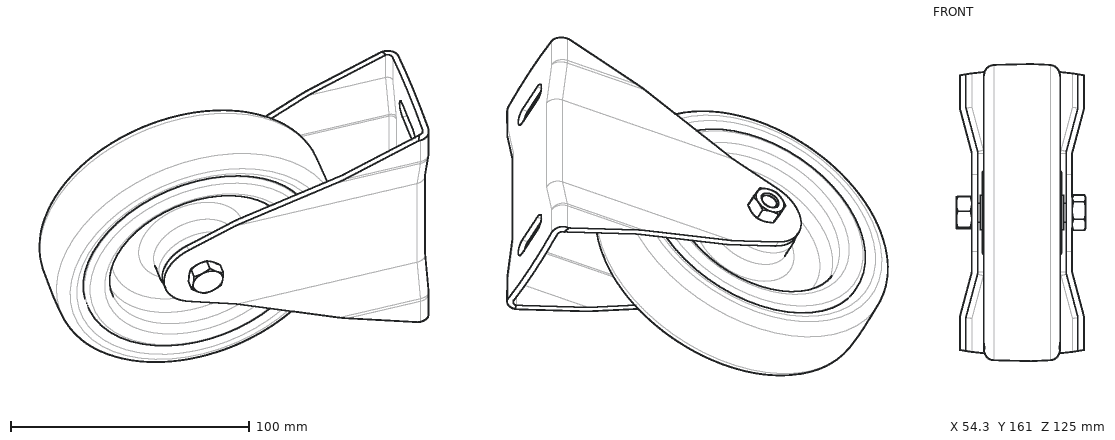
import cadquery as cq
import math


wheel_radius = 62.5
wheel_half_width = 16.1
crown_drop = 0.8
tread_edge_radius = 4.7
seam_radius = 50.5
tyre_inner_edge_radius = 3.9
rim_edge_radius = 2.0
well_radius = 39.1
well_lip_radius = 3.0
well_root_radius = 4.0
web_half_width = 2.4
hub_radius = 18.0
hub_half_length = 16.7
hub_root_radius = 5.0
hub_tip_radius = 2.0
boss_radius = 7.2
boss_half_length = 17.5

sheet = 2.5
fork_narrow_half = 21.1
fork_wide_half = 26.0
narrow_half_height = 25.0
wide_half_height = 43.6
flare_outer_bend = 5.5
flare_inner_bend = 3.4
overall_length = 161
back_y = overall_length - wheel_radius
back_half_height = 60.0
back_side_half_height = 57.6
back_bend_inner = 2.4
back_bend_outer = back_bend_inner + sheet
leg_root_half_height = 58.0
leg_tip_radius = 17.5
slot_width = 8.0
slot_length = 22.5
slot_height_z = 39.8

bolt_radius = 4.0
bolt_end_chamfer = 0.6
bolt_end_recess = 0.6
hex_across_flats = 13.0
hex_chamfer_angle = 30
nut_height = 6.5
nut_turn = 5
head_height = 5.6
head_turn = 38


def symmetric_revolve(half_profile):
    """Revolve about X a profile of (x, radius) points, given for +X and mirrored to -X."""
    mirrored = [(-x, radius) for x, radius in reversed(half_profile)]
    return cq.Workplane("XY").polyline(half_profile + mirrored).close().revolve(360, (0, 0), (1, 0))


def round_rings(body, ring_radius, ring_x, fillet_radius):
    """Fillet the two circular edges of the given radius at +/-ring_x."""
    def is_ring(edge):
        return (
            edge.geomType() == "CIRCLE"
            and math.isclose(edge.radius(), ring_radius, abs_tol=0.0002)
            and math.isclose(abs(edge.arcCenter().x), ring_x, abs_tol=0.0002)
        )

    rings = [edge for edge in body.edges().vals() if is_ring(edge)]
    return body.newObject([body.val().fillet(fillet_radius, rings)])


def make_tyre():
    shoulder_radius = wheel_radius - crown_drop
    tyre = (
        cq.Workplane("XY")
        .moveTo(-wheel_half_width, seam_radius)
        .lineTo(-wheel_half_width, shoulder_radius)
        .threePointArc((0, wheel_radius), (wheel_half_width, shoulder_radius))
        .lineTo(wheel_half_width, seam_radius)
        .close()
        .revolve(360, (0, 0), (1, 0))
    )
    tyre = round_rings(tyre, shoulder_radius, wheel_half_width, tread_edge_radius)
    return round_rings(tyre, seam_radius, wheel_half_width, tyre_inner_edge_radius)


def make_rim():
    rim = symmetric_revolve([
        (boss_half_length, bolt_radius),
        (boss_half_length, boss_radius),
        (hub_half_length, boss_radius),
        (hub_half_length, hub_radius),
        (web_half_width, hub_radius),
        (web_half_width, well_radius),
        (wheel_half_width, well_radius),
        (wheel_half_width, seam_radius),
    ])
    rim = round_rings(rim, seam_radius, wheel_half_width, rim_edge_radius)
    rim = round_rings(rim, well_radius, wheel_half_width, well_lip_radius)
    rim = round_rings(rim, well_radius, web_half_width, well_root_radius)
    rim = round_rings(rim, hub_radius, web_half_width, hub_root_radius)
    return round_rings(rim, hub_radius, hub_half_length, hub_tip_radius)


def flared_block(inset, back, back_bend):
    """Block with the waisted front outline of the fork, set in by `inset` from the outer skin."""
    flare_angle = math.atan2(fork_wide_half - fork_narrow_half, wide_half_height - narrow_half_height)
    corner_shift = inset * math.tan(flare_angle / 2)
    wide = fork_wide_half - inset
    narrow = fork_narrow_half - inset
    wide_z = wide_half_height + corner_shift
    narrow_z = narrow_half_height + corner_shift
    right_side = [(wide, -back_half_height), (wide, -wide_z), (narrow, -narrow_z),
                  (narrow, narrow_z), (wide, wide_z), (wide, back_half_height)]
    left_side = [(-x, z) for x, z in reversed(right_side)]
    block = (
        cq.Workplane("XZ", origin=(0, back, 0))
        .polyline(right_side + left_side)
        .close()
        .extrude(back + leg_tip_radius)
    )
    if inset:
        bend_x, bend_z, bend = narrow, narrow_z, flare_inner_bend
    else:
        bend_x, bend_z, bend = wide, wide_z, flare_outer_bend

    def is_flare_bend(edge):
        middle = edge.Center()
        return (
            math.isclose(abs(middle.x), bend_x, abs_tol=0.0002)
            and math.isclose(abs(middle.z), bend_z, abs_tol=0.0002)
        )

    bends = [edge for edge in block.edges("|Y").vals() if is_flare_bend(edge)]
    block = block.newObject([block.val().fillet(bend, bends)])
    return block.faces(">Y").edges("not |X").fillet(back_bend)


def make_fork():
    fork = flared_block(0, back_y, back_bend_outer)
    fork = fork.cut(flared_block(sheet, back_y - sheet, back_bend_inner))

    root_y = back_y - back_bend_outer
    root_distance = math.hypot(root_y, leg_root_half_height)
    tangent_angle = math.atan2(leg_root_half_height, root_y) + math.acos(leg_tip_radius / root_distance)
    tangent_y = leg_tip_radius * math.cos(tangent_angle)
    tangent_z = leg_tip_radius * math.sin(tangent_angle)
    side_outline = (
        cq.Workplane("YZ")
        .moveTo(back_y, back_half_height)
        .lineTo(root_y, back_half_height)
        .lineTo(root_y, leg_root_half_height)
        .lineTo(tangent_y, tangent_z)
        .threePointArc((-leg_tip_radius, 0), (tangent_y, -tangent_z))
        .lineTo(root_y, -leg_root_half_height)
        .lineTo(root_y, -back_half_height)
        .lineTo(back_y, -back_half_height)
        .close()
        .extrude(fork_wide_half, both=True)
    )

    end_outline = (
        cq.Workplane("XZ", origin=(0, back_y, 0))
        .moveTo(-fork_wide_half, -back_side_half_height)
        .lineTo(-fork_wide_half, back_side_half_height)
        .threePointArc((0, back_half_height), (fork_wide_half, back_side_half_height))
        .lineTo(fork_wide_half, -back_side_half_height)
        .threePointArc((0, -back_half_height), (-fork_wide_half, -back_side_half_height))
        .close()
        .extrude(back_y + leg_tip_radius)
    )
    fork = fork.intersect(side_outline).intersect(end_outline)

    mounting_slots = (
        cq.Workplane("XZ", origin=(0, back_y, 0))
        .pushPoints([(0, slot_height_z), (0, -slot_height_z)])
        .slot2D(slot_length, slot_width)
        .extrude(2 * sheet)
    )
    axle_hole = cq.Workplane("YZ").circle(bolt_radius).extrude(fork_wide_half, both=True)
    return fork.cut(mounting_slots).cut(axle_hole)


def corner_chamfer_cone(face_x, inward):
    """Turned envelope that takes the hexagon corners off at face_x; `inward` is +1 or -1 along X."""
    base_radius = hex_across_flats / 2
    depth = 2 * nut_height
    back_radius = base_radius + depth / math.tan(math.radians(hex_chamfer_angle))
    back_x = face_x + inward * depth
    return (
        cq.Workplane("XY")
        .polyline([(face_x, 0), (face_x, base_radius), (back_x, back_radius), (back_x, 0)])
        .close()
        .revolve(360, (0, 0), (1, 0))
    )


def chamfered_hexagon(start_x, height, turn):
    """Hexagon along +X from start_x, with a corner turned from -Y towards +Z by `turn` degrees."""
    across_corners = hex_across_flats / math.cos(math.radians(30))
    hexagon = (
        cq.Workplane("YZ", origin=(start_x, 0, 0))
        .polygon(6, across_corners)
        .extrude(height)
        .rotate((0, 0, 0), (1, 0, 0), -turn)
    )
    hexagon = hexagon.intersect(corner_chamfer_cone(start_x, 1))
    return hexagon.intersect(corner_chamfer_cone(start_x + height, -1))


def make_nut():
    outer_x = -fork_narrow_half - nut_height
    nut = chamfered_hexagon(outer_x, nut_height, nut_turn)
    thread_hole = cq.Workplane("YZ", origin=(outer_x, 0, 0)).circle(bolt_radius).extrude(nut_height)
    return nut.cut(thread_hole)


def make_bolt():
    shank_end_x = -fork_narrow_half - nut_height + bolt_end_recess
    head = chamfered_hexagon(fork_narrow_half, head_height, head_turn)
    shank = (
        cq.Workplane("YZ", origin=(shank_end_x, 0, 0))
        .circle(bolt_radius)
        .extrude(fork_narrow_half - shank_end_x)
        .faces("<X")
        .chamfer(bolt_end_chamfer)
    )
    return head.union(shank)


tyre = make_tyre()
rim = make_rim()
fork = make_fork()
bolt = make_bolt()
nut = make_nut()

result = cq.Compound.makeCompound([tyre.val(), rim.val(), fork.val(), bolt.val(), nut.val()])